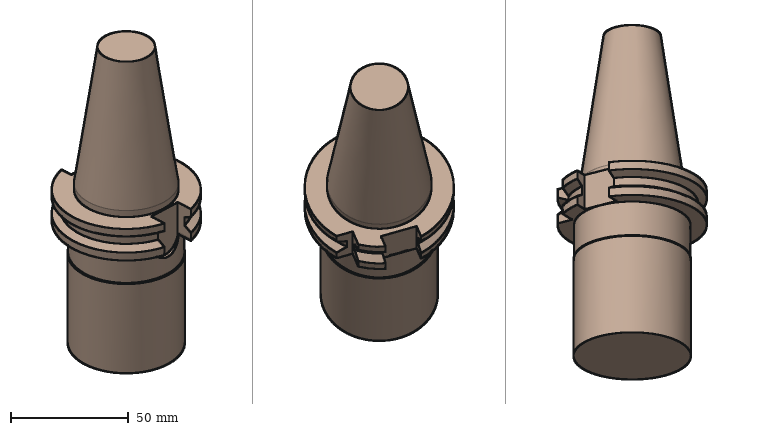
import cadquery as cq
import math

total_height = 148.4
gauge_line = 80.0
flange_top = 76.7
flange_thickness = 15.9
flange_bottom = flange_top - flange_thickness
nose_top = 44.8
nose_chamfer_height = 0.5

taper_large_diameter = 44.5
taper_ratio = 7 / 24
taper_small_diameter = taper_large_diameter - (total_height - gauge_line) * taper_ratio
flange_diameter = 63.5
groove_root_diameter = 56.2
neck_diameter = 49.5
nose_diameter = 50.0

groove_center = 68.9
groove_root_width = 3.9
groove_flank_angle = 30.0
groove_depth = (flange_diameter - groove_root_diameter) / 2
groove_flank_rise = groove_depth * math.tan(math.radians(groove_flank_angle))
groove_mouth_width = groove_root_width + 2 * groove_flank_rise

slot_width = 16.0
left_slot_floor = 25.0
right_slot_floor = 22.9
slot_end_center = 61.7
notch_offset = 18.5

cutter_reach = flange_diameter


def revolved_body():
    """Taper, grooved flange, neck and nose as one turned profile."""
    flange_radius = flange_diameter / 2
    root_radius = groove_root_diameter / 2
    neck_radius = neck_diameter / 2
    nose_radius = nose_diameter / 2
    profile = [
        (0, 0),
        (nose_radius, 0),
        (nose_radius, nose_top),
        (neck_radius, nose_top + nose_chamfer_height),
        (neck_radius, flange_bottom),
        (flange_radius, flange_bottom),
        (flange_radius, groove_center - groove_mouth_width / 2),
        (root_radius, groove_center - groove_root_width / 2),
        (root_radius, groove_center + groove_root_width / 2),
        (flange_radius, groove_center + groove_mouth_width / 2),
        (flange_radius, flange_top),
        (taper_large_diameter / 2, flange_top),
        (taper_large_diameter / 2, gauge_line),
        (taper_small_diameter / 2, total_height),
        (0, total_height),
    ]
    return cq.Workplane("XZ").polyline(profile).close().revolve(360, (0, 0), (0, 1))


def left_slot_cutter():
    """Straight drive slot through the flange on the -X side."""
    return (
        cq.Workplane("XY", origin=(-left_slot_floor, 0, flange_bottom))
        .box(cutter_reach, slot_width, flange_thickness, centered=(False, True, False))
        .translate((-cutter_reach, 0, 0))
    )


def right_slot_cutter():
    """Drive slot on the +X side whose rounded lower end runs into the neck."""
    half_width = slot_width / 2
    return (
        cq.Workplane("YZ", origin=(right_slot_floor, 0, 0))
        .moveTo(-half_width, flange_top)
        .lineTo(-half_width, slot_end_center)
        .threePointArc((0, slot_end_center - half_width), (half_width, slot_end_center))
        .lineTo(half_width, flange_top)
        .close()
        .extrude(cutter_reach)
    )


def notch_cutter():
    """Square-cornered orientation notch in the -X, +Y quarter of the flange."""
    return (
        cq.Workplane("XY", origin=(-notch_offset, notch_offset, flange_bottom))
        .box(cutter_reach, cutter_reach, flange_thickness, centered=False)
        .translate((-cutter_reach, 0, 0))
    )


result = revolved_body().cut(left_slot_cutter()).cut(right_slot_cutter()).cut(notch_cutter())